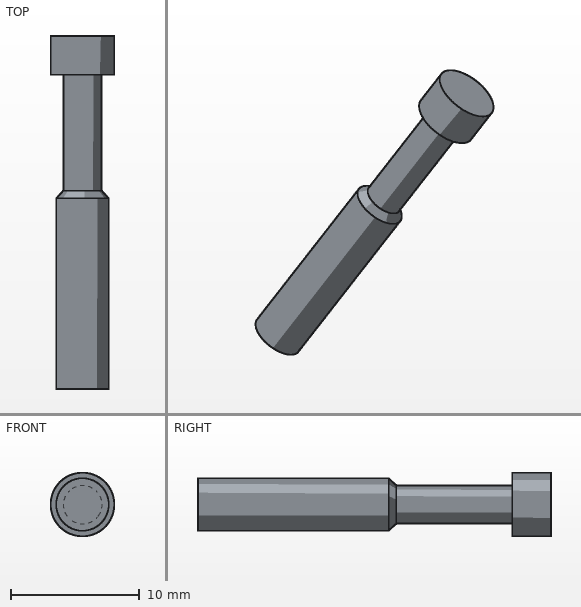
import cadquery as cq

total_length = 27.4

head_diameter = 4.95
head_length = 3.01

neck_diameter = 3.0
neck_length = 9.0

shank_diameter = 4.08
shoulder_length = 0.6

head_radius = head_diameter / 2
neck_radius = neck_diameter / 2
shank_radius = shank_diameter / 2

head_end = total_length / 2
shank_end = -total_length / 2
head_underside = head_end - head_length
neck_end = head_underside - neck_length
shoulder_end = neck_end - shoulder_length

half_profile = (
    cq.Workplane("XY")
    .moveTo(0, shank_end)
    .lineTo(shank_radius, shank_end)
    .lineTo(shank_radius, shoulder_end)
    .lineTo(neck_radius, neck_end)
    .lineTo(neck_radius, head_underside)
    .lineTo(head_radius, head_underside)
    .lineTo(head_radius, head_end)
    .lineTo(0, head_end)
    .close()
)

result = half_profile.revolve(360, (0, 0, 0), (0, 1, 0))